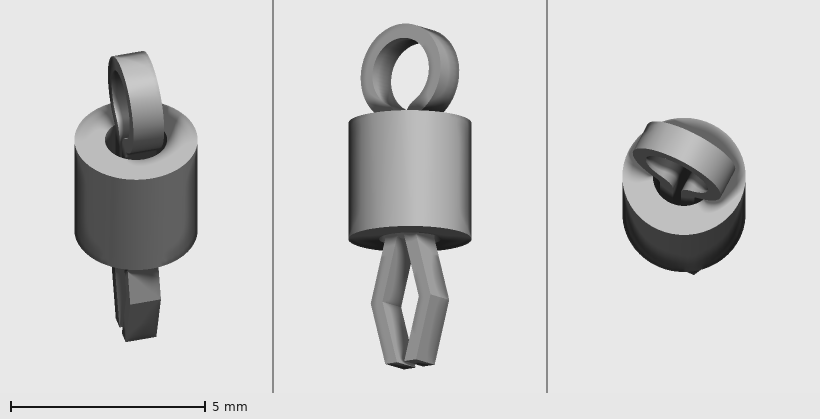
import cadquery as cq
import math

sleeve_diameter = 3.18
bore_diameter = 1.6
sleeve_bottom = 3.3
sleeve_height = 3.05

overall_height = 8.9
strip_depth = 0.82
strip_thickness = 0.37
loop_diameter = 2.545
leg_gap = 0.23
neck_bend_radius = 0.23
kink_offset = 0.46

sleeve_radius = sleeve_diameter / 2
bore_radius = bore_diameter / 2
loop_outer_radius = loop_diameter / 2
loop_inner_radius = loop_outer_radius - strip_thickness
loop_center_z = overall_height - loop_outer_radius
leg_inner_x = leg_gap / 2
leg_outer_x = leg_inner_x + strip_thickness
kink_z = sleeve_bottom / 2

bend_center_x = leg_outer_x + neck_bend_radius
bend_center_distance = loop_outer_radius + neck_bend_radius
bend_center_z = loop_center_z - math.sqrt(bend_center_distance**2 - bend_center_x**2)
neck_angle = math.asin(bend_center_x / bend_center_distance)


def loop_point(radius):
    """Right-hand end of a loop arc, where the neck bend starts."""
    return (radius * math.sin(neck_angle), loop_center_z - radius * math.cos(neck_angle))


def bend_middle(radius):
    """Middle of a neck bend arc on the right-hand side."""
    half_angle = (math.pi / 2 - neck_angle) / 2
    direction = math.pi - half_angle
    return (
        bend_center_x + radius * math.cos(direction),
        bend_center_z + radius * math.sin(direction),
    )


def mirrored(point):
    """Matching point on the left-hand side."""
    return (-point[0], point[1])


def make_sleeve():
    return (
        cq.Workplane("XY")
        .workplane(offset=sleeve_bottom)
        .circle(sleeve_radius)
        .circle(bore_radius)
        .extrude(sleeve_height)
    )


def make_clip():
    outer_end = loop_point(loop_outer_radius)
    inner_end = loop_point(loop_inner_radius)
    outer_bend = bend_middle(neck_bend_radius)
    inner_bend = bend_middle(neck_bend_radius + strip_thickness)
    return (
        cq.Workplane("XZ")
        .moveTo(leg_outer_x, 0)
        .lineTo(leg_outer_x + kink_offset, kink_z)
        .lineTo(leg_outer_x, sleeve_bottom)
        .lineTo(leg_outer_x, bend_center_z)
        .threePointArc(outer_bend, outer_end)
        .threePointArc((0, overall_height), mirrored(outer_end))
        .threePointArc(mirrored(outer_bend), (-leg_outer_x, bend_center_z))
        .lineTo(-leg_outer_x, sleeve_bottom)
        .lineTo(-leg_outer_x - kink_offset, kink_z)
        .lineTo(-leg_outer_x, 0)
        .lineTo(-leg_inner_x, 0)
        .lineTo(-leg_inner_x - kink_offset, kink_z)
        .lineTo(-leg_inner_x, sleeve_bottom)
        .lineTo(-leg_inner_x, bend_center_z)
        .threePointArc(mirrored(inner_bend), mirrored(inner_end))
        .threePointArc((0, loop_center_z + loop_inner_radius), inner_end)
        .threePointArc(inner_bend, (leg_inner_x, bend_center_z))
        .lineTo(leg_inner_x, sleeve_bottom)
        .lineTo(leg_inner_x + kink_offset, kink_z)
        .lineTo(leg_inner_x, 0)
        .close()
        .extrude(strip_depth / 2, both=True)
    )


sleeve = make_sleeve()
clip = make_clip()
result = cq.Compound.makeCompound([sleeve.val(), clip.val()])